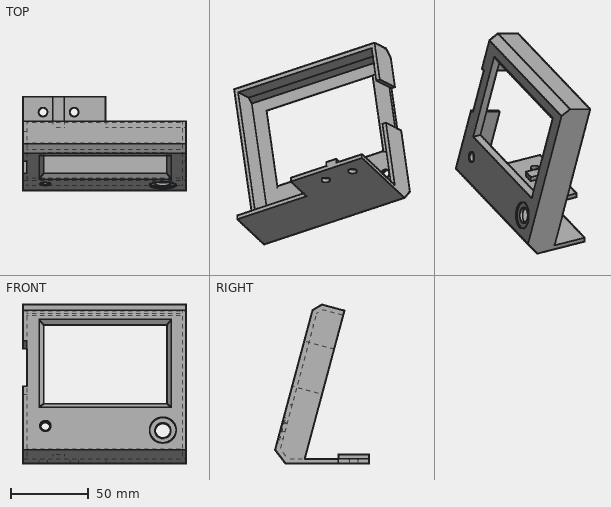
import cadquery as cq
import math


width = 105.0
height = 102.22
tilt = math.radians(15)
housing_depth = 20.0
wall = 3.0
side_wall = 2.6
top_chamfer = 5.0
nose_chamfer = 9.15
slant_height = (height + top_chamfer * math.sin(tilt)) / math.cos(tilt)

overall_depth = 60.39
base_rear = overall_depth + nose_chamfer * math.sin(tilt)
tab_width = 53.2
tab_length = 19.75

rib_center_x = 23.0
rib_width = 7.5
rib_height = 3.0
mount_hole_diameter = 5.5
mount_hole_offset = 10.0

window_x = 53.0
window_s = 66.75
window_width = 79.0
window_height = 52.2
window_bevel = 3.0

notch_s = 66.6
notch_length = 30.0

lamp_x = 14.5
lamp_s = 25.1
lamp_diameter = 6.0
lamp_chamfer = 0.5

button_x = 90.0
button_s = 22.4
button_diameter = 10.0
button_recess_diameter = 17.0
button_recess_depth = 1.0


def on_slope(s, depth):
    """(y, z) of the point s up the front face and depth behind it."""
    y = s * math.sin(tilt) + depth * math.cos(tilt)
    z = s * math.cos(tilt) - depth * math.sin(tilt)
    return y, z


def slope_at_height(z, depth):
    """Distance up the slope at which the plane depth behind the front face has height z."""
    return (z + depth * math.sin(tilt)) / math.cos(tilt)


def front_plane(depth=0.0):
    """Workplane parallel to the front face: local x is X, local y runs up the slope."""
    y, z = on_slope(0, depth)
    return cq.Workplane(
        cq.Plane(
            origin=(0, y, z),
            xDir=(1, 0, 0),
            normal=(0, -math.cos(tilt), math.sin(tilt)),
        )
    )


def side_prism(points, x_start, x_end):
    """Prism along X over a closed outline of (y, z) points."""
    plane = cq.Workplane("YZ", origin=(x_start, 0, 0))
    return plane.polyline(points).close().extrude(x_end - x_start)


def housing_block():
    """Solid tilted block with both front edges chamfered and a level underside."""
    outline = [
        (nose_chamfer, 0),
        on_slope(nose_chamfer, 0),
        on_slope(slant_height - top_chamfer, 0),
        on_slope(slant_height, top_chamfer),
        on_slope(slant_height, housing_depth),
        on_slope(slope_at_height(0, housing_depth), housing_depth),
    ]
    return side_prism(outline, 0, width)


def housing_cavity():
    """Inside of the housing: one wall behind every outer face of the profile, open at the back."""
    nose_turn = (math.pi / 2 + tilt) / 2
    nose_slide = wall * math.tan(nose_turn / 2)
    top_slide = wall * math.tan(math.pi / 8)
    open_depth = housing_depth + wall
    inner_top = slant_height - wall
    outline = [
        (nose_chamfer + nose_slide, wall),
        on_slope(nose_chamfer + nose_slide, wall),
        on_slope(slant_height - top_chamfer - top_slide, wall),
        on_slope(inner_top, top_chamfer + top_slide),
        on_slope(inner_top, open_depth),
        on_slope(slope_at_height(wall, open_depth), open_depth),
    ]
    return side_prism(outline, side_wall, width - side_wall)


def base():
    """Full-width floor, with a narrower tab and its rib at the rear left."""
    tab_front = base_rear - tab_length
    rib_left = rib_center_x - rib_width / 2
    floor = cq.Workplane("XY").box(width, tab_front - nose_chamfer, wall, centered=False)
    tab = cq.Workplane("XY").box(tab_width, tab_length, wall, centered=False)
    rib = cq.Workplane("XY").box(rib_width, tab_length, rib_height, centered=False)
    return (
        floor.translate((0, nose_chamfer, 0))
        .union(tab.translate((0, tab_front, 0)))
        .union(rib.translate((rib_left, tab_front, wall)))
    )


def window():
    """Opening through the front plate that widens toward the front."""
    bevel_growth = 2 * window_bevel
    return (
        front_plane(wall)
        .center(window_x, window_s)
        .rect(window_width, window_height)
        .workplane(offset=wall)
        .rect(window_width + bevel_growth, window_height + bevel_growth)
        .loft(ruled=True)
    )


def side_notch():
    """Slot through the left side wall over the full housing depth."""
    return (
        front_plane()
        .center(side_wall / 2, notch_s)
        .rect(side_wall, notch_length)
        .extrude(-housing_depth)
    )


def lamp_hole():
    """Round hole through the front plate with a chamfered front rim."""
    radius = lamp_diameter / 2
    center = front_plane().center(lamp_x, lamp_s)
    hole = center.circle(radius).extrude(-wall)
    rim = (
        center.circle(radius + lamp_chamfer)
        .workplane(offset=-lamp_chamfer)
        .circle(radius)
        .loft(ruled=True)
    )
    return hole.union(rim)


def button_hole():
    """Round hole through the front plate with a wider, shallow recess at the front."""
    center = front_plane().center(button_x, button_s)
    hole = center.circle(button_diameter / 2).extrude(-wall)
    recess = center.circle(button_recess_diameter / 2).extrude(-button_recess_depth)
    return hole.union(recess)


def mounting_holes():
    """Two holes through the tab, one on each side of the rib."""
    y = base_rear - mount_hole_offset
    centers = [(rib_center_x + side * mount_hole_offset, y) for side in (-1, 1)]
    return cq.Workplane("XY").pushPoints(centers).circle(mount_hole_diameter / 2).extrude(wall)


result = (
    housing_block()
    .cut(housing_cavity())
    .union(base())
    .cut(window())
    .cut(side_notch())
    .cut(lamp_hole())
    .cut(button_hole())
    .cut(mounting_holes())
)